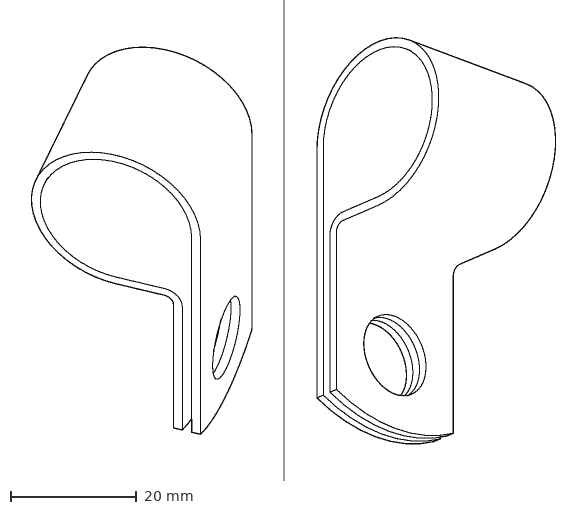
import cadquery as cq
import math

height = 60.25
width = 25.4
loop_radius = 14.2
thickness = 1.5
leg_gap = 1.55
bend_radius = 3.0
hole_diameter = 13.5
hole_height = 12.7
end_rise = 2.95

bore_radius = loop_radius - thickness
inner_bend_radius = bend_radius - thickness
bottom = loop_radius - height
front_leg_right = bore_radius - leg_gap
front_leg_left = front_leg_right - thickness
bend_x = front_leg_right - bend_radius
bend_z = -bore_radius - bend_radius
diagonal = math.sqrt(0.5)


def strip():
    """Bent strip: straight leg, three-quarter loop, bend and second leg."""
    return (
        cq.Workplane("XZ")
        .moveTo(loop_radius, bottom)
        .lineTo(loop_radius, 0)
        .threePointArc((-loop_radius * diagonal, loop_radius * diagonal), (0, -loop_radius))
        .lineTo(bend_x, -loop_radius)
        .threePointArc(
            (bend_x + inner_bend_radius * diagonal, bend_z + inner_bend_radius * diagonal),
            (front_leg_left, bend_z),
        )
        .lineTo(front_leg_left, bottom)
        .lineTo(front_leg_right, bottom)
        .lineTo(front_leg_right, bend_z)
        .threePointArc(
            (bend_x + bend_radius * diagonal, bend_z + bend_radius * diagonal),
            (bend_x, -bore_radius),
        )
        .lineTo(0, -bore_radius)
        .threePointArc((-bore_radius * diagonal, bore_radius * diagonal), (bore_radius, 0))
        .lineTo(bore_radius, bottom)
        .close()
        .extrude(width / 2, both=True)
    )


def rounded_end_envelope():
    """Block with an arched lower edge that trims both leg ends."""
    return (
        cq.Workplane("YZ")
        .moveTo(-width / 2, loop_radius)
        .lineTo(-width / 2, bottom + end_rise)
        .threePointArc((0, bottom), (width / 2, bottom + end_rise))
        .lineTo(width / 2, loop_radius)
        .close()
        .extrude(loop_radius, both=True)
    )


def screw_hole():
    """Cylinder along X through both legs."""
    return (
        cq.Workplane("YZ")
        .center(0, bottom + hole_height)
        .circle(hole_diameter / 2)
        .extrude(loop_radius)
    )


result = strip().intersect(rounded_end_envelope()).cut(screw_hole())